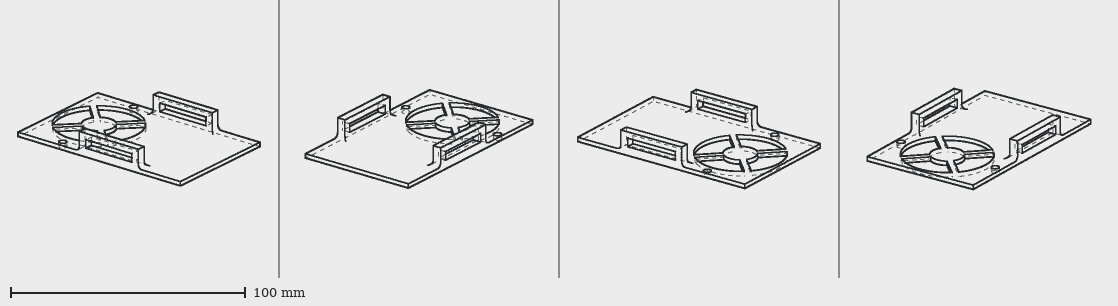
import cadquery as cq

length = 88.0
width = 55.0
height = 11.0
plate_thickness = 2.0

fan_x = 21.6
fan_y = 28.4
fan_diameter = 39.95
hub_diameter = 15.0
spoke_width = 3.0
spoke_angles = (45, 135)

screw_diameter = 3.5
screw_spacing = 48.9
screw_mid_y = 28.0

bracket_start = 33.2
bracket_length = 32.0
bracket_thickness = 4.0
foot_radius = 2.0
slot_length = 25.0
slot_height = 4.0
slot_bottom = 4.1
bracket_end = bracket_start + bracket_length
bracket_mid_x = (bracket_start + bracket_end) / 2


def flared_end(profile, wall):
    """Continue a profile up a concave foot and then up the wall to the full height."""
    return (
        profile.lineTo(wall + foot_radius, plate_thickness)
        .radiusArc((wall, plate_thickness + foot_radius), foot_radius)
        .lineTo(wall, height)
    )


def make_bracket():
    """Bracket on the y = 0 edge; crossing two flared profiles mitres the foot corners."""
    foot_depth = bracket_thickness + foot_radius

    long_profile = cq.Workplane("XZ").moveTo(bracket_start - foot_radius, 0)
    long_profile = long_profile.lineTo(bracket_end + foot_radius, 0)
    long_profile = flared_end(long_profile, bracket_end)
    long_profile = (
        long_profile.lineTo(bracket_start, height)
        .lineTo(bracket_start, plate_thickness + foot_radius)
        .radiusArc((bracket_start - foot_radius, plate_thickness), foot_radius)
        .close()
        .extrude(-foot_depth)
    )

    cross_profile = cq.Workplane("YZ").moveTo(0, 0).lineTo(foot_depth, 0)
    cross_profile = flared_end(cross_profile, bracket_thickness)
    cross_profile = cross_profile.lineTo(0, height).close().extrude(length)

    slot = cq.Workplane("XY").box(
        slot_length, 2 * foot_depth, slot_height, centered=(True, True, False)
    ).translate((bracket_mid_x, 0, slot_bottom))
    return long_profile.intersect(cross_profile).cut(slot)


def make_grille_opening():
    """Fan opening less the hub and the crossed spokes."""
    opening = cq.Workplane("XY").circle(fan_diameter / 2).extrude(plate_thickness)
    opening = opening.cut(cq.Workplane("XY").circle(hub_diameter / 2).extrude(plate_thickness))
    for angle in spoke_angles:
        spoke = cq.Workplane("XY").rect(2 * fan_diameter, spoke_width).extrude(plate_thickness)
        opening = opening.cut(spoke.rotate((0, 0, 0), (0, 0, 1), angle))
    return opening.translate((fan_x, fan_y, 0))


plate = cq.Workplane("XY").box(length, width, plate_thickness, centered=False)
screw_holes = (
    cq.Workplane("XY")
    .pushPoints([(fan_x, screw_mid_y + side * screw_spacing / 2) for side in (-1, 1)])
    .circle(screw_diameter / 2)
    .extrude(plate_thickness)
)
near_bracket = make_bracket()
far_bracket = near_bracket.mirror("XZ", (0, width / 2, 0))

result = plate.cut(make_grille_opening()).cut(screw_holes).union(near_bracket).union(far_bracket)